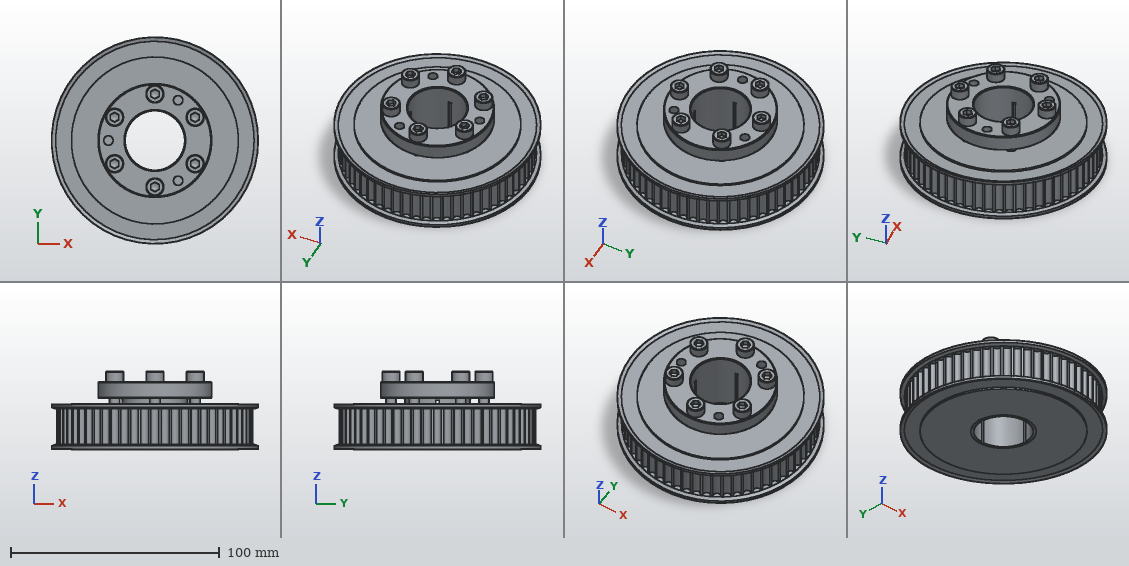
import cadquery as cq
import math


tooth_count = 60
tip_diameter = 94.0
groove_radius = 1.9
pulley_height = 22.0
hub_diameter = 80.0

flange_diameter = 99.0
flange_flat_diameter = 95.0
flange_thickness = 1.5
flange_bend_rise = 0.7
flange_recess = 1.0

bushing_bore = 28.5
sleeve_diameter = 31.3
collar_diameter = 54.5
collar_height = 8.0
collar_gap = 2.5
collar_chamfer = 0.5
bore_chamfer = 0.5
sleeve_fillet = 0.4
slot_count = 4
slot_width = 1.5
slot_top_gap = 0.9

bolt_circle_diameter = 44.5
screw_count = 6
screw_diameter = 5.0
screw_length = 20.0
head_diameter = 8.5
head_height = 5.0
head_chamfer = 0.35
socket_sides = 6
socket_width = 4.0
socket_depth = 2.5
socket_tip_angle = 150.0
jack_hole_count = 3
jack_hole_diameter = 4.5

tip_radius = tip_diameter / 2
flange_bottom = pulley_height - flange_recess - flange_thickness
toothed_start = pulley_height - flange_bottom
toothed_width = flange_bottom - toothed_start
collar_bottom = pulley_height + collar_gap
collar_top = collar_bottom + collar_height
screw_tip = collar_top - screw_length
bolt_circle_radius = bolt_circle_diameter / 2
screw_angles = [90 + i * 360 / screw_count for i in range(screw_count)]
jack_hole_angles = [180 + i * 360 / jack_hole_count for i in range(jack_hole_count)]


def polar(radius, degrees):
    angle = math.radians(degrees)
    return (radius * math.cos(angle), radius * math.sin(angle))


def bolt_circle_points(angles):
    return [polar(bolt_circle_radius, angle) for angle in angles]


def disc(diameter, bottom, top):
    return cq.Workplane("XY").workplane(offset=bottom).circle(diameter / 2).extrude(top - bottom)


def tooth_outline():
    """Closed outline of the tip circle with half-round belt grooves, one of them centred on +X."""
    step = 360 / tooth_count
    half_opening = math.degrees(2 * math.asin(groove_radius / 2 / tip_radius))
    floor_radius = tip_radius - groove_radius
    outline = (
        cq.Workplane("XY").workplane(offset=toothed_start)
        .moveTo(*polar(tip_radius, -half_opening))
    )
    for i in range(tooth_count):
        axis = i * step
        next_groove_start = polar(tip_radius, axis + step - half_opening)
        outline = (
            outline
            .threePointArc(polar(floor_radius, axis), polar(tip_radius, axis + half_opening))
            .threePointArc(polar(tip_radius, axis + step / 2), next_groove_start)
        )
    return outline.close()


def make_pulley():
    body = tooth_outline().extrude(toothed_width)
    body = body.union(disc(hub_diameter, 0, pulley_height))
    body = body.cut(disc(sleeve_diameter, 0, pulley_height))
    screw_holes = (
        cq.Workplane("XY").workplane(offset=screw_tip)
        .pushPoints(bolt_circle_points(screw_angles))
        .circle(screw_diameter / 2).extrude(pulley_height - screw_tip)
    )
    return body.cut(screw_holes)


def make_upper_flange():
    """Flat ring whose rim is bent away from the belt."""
    hub_radius = hub_diameter / 2
    flat_radius = flange_flat_diameter / 2
    rim_radius = flange_diameter / 2
    flat_top = flange_bottom + flange_thickness
    return (
        cq.Workplane("XZ")
        .moveTo(hub_radius, flange_bottom)
        .lineTo(flat_radius, flange_bottom)
        .lineTo(rim_radius, flange_bottom + flange_bend_rise)
        .lineTo(rim_radius, flat_top + flange_bend_rise)
        .lineTo(flat_radius, flat_top)
        .lineTo(hub_radius, flat_top)
        .close()
        .revolve(360, (0, 0), (0, 1))
    )


def make_bushing():
    """Slotted sleeve inside the pulley bore with a bolted collar above it."""
    collar = disc(collar_diameter, collar_bottom, collar_top).edges().chamfer(collar_chamfer)
    body = collar.union(disc(sleeve_diameter, 0, collar_bottom))
    sleeve_radius = sleeve_diameter / 2
    smallest_circle = cq.selectors.RadiusNthSelector(0)
    around_neck = cq.selectors.BoxSelector(
        (-sleeve_diameter, -sleeve_diameter, collar_bottom - sleeve_fillet),
        (sleeve_diameter, sleeve_diameter, collar_bottom + sleeve_fillet),
    )
    body = body.edges(around_neck).edges(smallest_circle).fillet(sleeve_fillet)
    body = body.cut(disc(bushing_bore, 0, collar_top))
    body = body.faces(">Z").edges(smallest_circle).chamfer(bore_chamfer)

    slot_top = collar_bottom - slot_top_gap
    for i in range(slot_count):
        slot = (
            cq.Workplane("XY")
            .center(sleeve_radius, 0)
            .rect(sleeve_radius, slot_width)
            .extrude(slot_top)
            .rotate((0, 0, 0), (0, 0, 1), i * 360 / slot_count)
        )
        body = body.cut(slot)

    def collar_holes(angles, diameter):
        return (
            cq.Workplane("XY").workplane(offset=collar_bottom)
            .pushPoints(bolt_circle_points(angles))
            .circle(diameter / 2).extrude(collar_height)
        )

    body = body.cut(collar_holes(screw_angles, screw_diameter))
    return body.cut(collar_holes(jack_hole_angles, jack_hole_diameter))


def make_screw(angle):
    """Socket head cap screw, its hexagon corners turned toward the shared axis."""
    head_top = collar_top + head_height
    head = disc(head_diameter, collar_top, head_top).faces(">Z").edges().chamfer(head_chamfer)
    screw = head.union(disc(screw_diameter, screw_tip, collar_top))

    socket_radius = socket_width / 2
    corner_diameter = socket_width / math.cos(math.radians(180 / socket_sides))
    cone_depth = socket_radius / math.tan(math.radians(socket_tip_angle / 2))
    socket_floor = head_top - socket_depth
    hexagon = (
        cq.Workplane("XY").workplane(offset=socket_floor)
        .polygon(socket_sides, corner_diameter).extrude(socket_depth)
    )
    drill_tip = (
        cq.Workplane("XZ")
        .moveTo(0, socket_floor)
        .lineTo(socket_radius, socket_floor)
        .lineTo(0, socket_floor - cone_depth)
        .close()
        .revolve(360, (0, 0), (0, 1))
    )
    screw = screw.cut(hexagon).cut(drill_tip)
    return screw.translate((bolt_circle_radius, 0, 0)).rotate((0, 0, 0), (0, 0, 1), angle)


pulley = make_pulley()
upper_flange = make_upper_flange()
lower_flange = upper_flange.mirror("XY", (0, 0, pulley_height / 2))
bushing = make_bushing()
screws = [make_screw(angle) for angle in screw_angles]

result = cq.Compound.makeCompound([
    pulley.val(),
    upper_flange.val(),
    lower_flange.val(),
    bushing.val(),
    *[screw.val() for screw in screws],
])